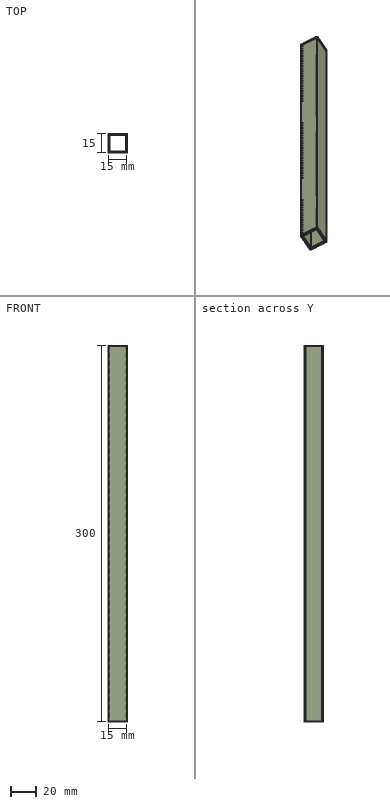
import cadquery as cq

length = 300.0
side = 15.0
wall = 1.0
bore = side - 2 * wall

outer = cq.Workplane("XY").rect(side, side).extrude(length)
cavity = cq.Workplane("XY").rect(bore, bore).extrude(length)

result = outer.cut(cavity)